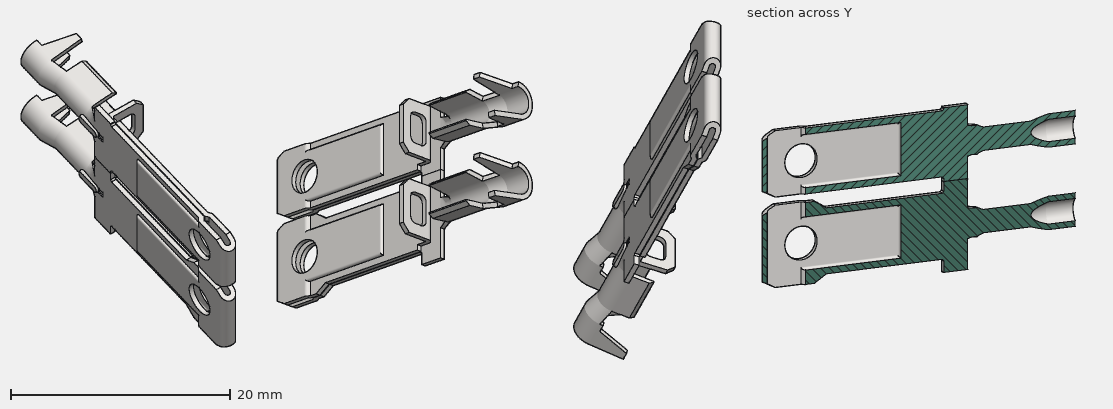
import cadquery as cq
import math


SHEET = 0.5
HALF_GAP = 0.03
EMBOSS = 0.265
INNER_FACE = HALF_GAP
OUTER_FACE = HALF_GAP + SHEET
RAISED_INNER = INNER_FACE + EMBOSS
RAISED_OUTER = OUTER_FACE + EMBOSS
LENGTH = 31.05
FOLD_START = LENGTH - RAISED_OUTER

STRIP_START = 10.65
STRIP_END = 13.07
CORNER = 0.15
BLADE_HALF = 3.17
TIP_START = 29.67
TIP_DROP = 0.75
WIDENING_START = 24.7
WIDENING_END = 25.9
HOLE_X = 27.1
HOLE_DIAMETER = 3.2

JOG_START = 26.57
JOG_END = 26.95
INNER_JOG_START = 26.8
INNER_JOG_END = 27.1
PAD_START = 17.32
PAD_HALF = 2.5
PAD_ROUND = 0.22
JOG_ROUND = 0.47

LEG_START = 11.5
LEG_TOP = 4.0
LEG_HALF = 2.65
LEG_CHAMFER = 0.78
BEND_INNER = 0.12
BEND_OUTER = BEND_INNER + SHEET
WINDOW_BOTTOM = 1.0
WINDOW_TOP = 3.05
WINDOW_HALF = 1.52
WINDOW_FILLET = 0.62

INSULATION_LENGTH = 2.67
INSULATION_RADIUS = 1.8
INSULATION_BOTTOM = -1.05
INSULATION_LEAN = 10.0
INSULATION_WING_TOP = 3.95
INSULATION_WING_BASE = 0.85
INSULATION_TIP_WIDTH = 0.78
WIRE_START = 4.4
WIRE_END = 9.1
WIRE_RADIUS = 1.58
WIRE_BOTTOM = -OUTER_FACE
WIRE_LEAN = 6.3
WIRE_WING_TOP = 3.1
WIRE_BEVEL_START = 2.6
WIRE_TIP_FLAT = 0.12
NECK_ARC_HALF_ANGLE = 62.0
NECK_HALF = 1.5

RIB_START = 8.5
RIB_END = 11.17
RIB_HALF = 0.37
RIB_CREST = -0.75
RIB_ROOT = -0.4
RIB_TAPER = 25.0
POCKET_START = 11.2
POCKET_FLOOR_END = 11.73
POCKET_END = 11.9
POCKET_HALF = 0.3
POCKET_DEPTH = 0.12

PITCH = 7.85
UPPER_CENTER = 3.63
LOWER_CENTER = UPPER_CENTER - PITCH
UPPER_STRIP_TOP = 7.08
LOWER_STRIP_BOTTOM = -8.65
UPPER_TIP_HALF = BLADE_HALF
LOWER_TIP_HALF = PITCH / 2

REACH = 6.2


def along_y(start, end, points):
    """Prism between two Y values from an outline of (x, z) points."""
    plane = cq.Plane(origin=(0, start, 0), xDir=(1, 0, 0), normal=(0, 1, 0))
    flipped = [(x, -z) for x, z in points]
    return cq.Workplane(plane).polyline(flipped).close().extrude(end - start)


def sheet_profile():
    """Side profile of both layers, the fold and the bent leg, as one thick strip."""
    bend_x = LEG_START + BEND_OUTER
    bend_y = INNER_FACE + BEND_OUTER
    diagonal = math.sqrt(0.5)
    return (
        cq.Workplane("XY")
        .moveTo(STRIP_START, -INNER_FACE)
        .lineTo(STRIP_START, -OUTER_FACE)
        .lineTo(JOG_START, -OUTER_FACE)
        .lineTo(JOG_END, -RAISED_OUTER)
        .lineTo(FOLD_START, -RAISED_OUTER)
        .threePointArc((LENGTH, 0), (FOLD_START, RAISED_OUTER))
        .lineTo(JOG_END, RAISED_OUTER)
        .lineTo(JOG_START, OUTER_FACE)
        .lineTo(bend_x, OUTER_FACE)
        .threePointArc(
            (bend_x - BEND_INNER * diagonal, bend_y - BEND_INNER * diagonal),
            (bend_x - BEND_INNER, bend_y),
        )
        .lineTo(LEG_START + SHEET, LEG_TOP)
        .lineTo(LEG_START, LEG_TOP)
        .lineTo(LEG_START, bend_y)
        .threePointArc(
            (bend_x - BEND_OUTER * diagonal, bend_y - BEND_OUTER * diagonal),
            (bend_x, INNER_FACE),
        )
        .lineTo(INNER_JOG_START, INNER_FACE)
        .lineTo(INNER_JOG_END, RAISED_INNER)
        .lineTo(FOLD_START, RAISED_INNER)
        .threePointArc((FOLD_START + RAISED_INNER, 0), (FOLD_START, -RAISED_INNER))
        .lineTo(INNER_JOG_END, -RAISED_INNER)
        .lineTo(INNER_JOG_START, -INNER_FACE)
        .close()
    )


def layer_outline(root_start, root_bottom, root_top, tip_half):
    """Outline of one layer: a root that steps to the blade, a blade that may widen, and a cut tip."""
    def side(root, sign):
        points = [(root_start, root), (STRIP_END, root)]
        if abs(root) > BLADE_HALF:
            points += [(STRIP_END, sign * (BLADE_HALF + CORNER)), (STRIP_END + CORNER, sign * BLADE_HALF)]
        else:
            points.append((STRIP_END, sign * BLADE_HALF))
        if tip_half > BLADE_HALF:
            points += [(WIDENING_START, sign * BLADE_HALF), (WIDENING_END, sign * tip_half)]
        return points + [(TIP_START, sign * tip_half), (LENGTH, sign * (tip_half - TIP_DROP))]

    return side(root_bottom, -1) + side(root_top, 1)[::-1]


def pad(face):
    """Raised pad with a rounded start and sides, standing on the plane Y = face toward +Y."""
    block = along_y(face, face + EMBOSS, [
        (PAD_START, -PAD_HALF), (INNER_JOG_END, -PAD_HALF),
        (INNER_JOG_END, PAD_HALF), (PAD_START, PAD_HALF)])
    return block.faces(">Y").edges("|X or <X").fillet(PAD_ROUND)


def sheet_blank():
    """The bent sheet at full extrusion width, with the crests of both outer jogs rounded."""
    blank = sheet_profile().extrude(REACH, both=True)
    for crest_y in (RAISED_OUTER, -RAISED_OUTER):
        crest = cq.selectors.NearestToPointSelector((JOG_END, crest_y, 0))
        blank = blank.edges("|Z").edges(crest).fillet(JOG_ROUND)
    return blank


def folded_blade(strip_bottom, strip_top, tip_half):
    """Strip, blade and bent leg, with hollow pads, the hole and the leg window."""
    front = along_y(-REACH, 0, layer_outline(STRIP_START, strip_bottom, strip_top, tip_half))
    back = along_y(0, REACH, layer_outline(STRIP_START, -LEG_HALF, LEG_HALF, tip_half))
    blank = sheet_blank()
    blade = blank.intersect(front).union(blank.intersect(back))

    back_pad = pad(OUTER_FACE)
    back_hollow = pad(INNER_FACE)
    blade = blade.union(back_pad).union(back_pad.mirror("XZ"))
    blade = blade.cut(back_hollow).cut(back_hollow.mirror("XZ"))

    hole = cq.Workplane("XZ").center(HOLE_X, 0).circle(HOLE_DIAMETER / 2).extrude(REACH, both=True)
    return blade.cut(hole).cut(leg_window()).cut(leg_corner_cuts())


def leg_window():
    """Rounded window through the bent leg."""
    return (
        cq.Workplane("YZ").workplane(offset=LEG_START)
        .center((WINDOW_BOTTOM + WINDOW_TOP) / 2, 0)
        .rect(WINDOW_TOP - WINDOW_BOTTOM, 2 * WINDOW_HALF)
        .extrude(SHEET)
        .edges("|X").fillet(WINDOW_FILLET)
    )


def leg_corner_cuts():
    """Triangles that chamfer the two top corners of the bent leg."""
    corner = (
        cq.Workplane("YZ").workplane(offset=LEG_START)
        .polyline([(LEG_TOP, LEG_HALF), (LEG_TOP - LEG_CHAMFER, LEG_HALF), (LEG_TOP, LEG_HALF - LEG_CHAMFER)])
        .close().extrude(SHEET)
    )
    return corner.union(corner.mirror("XY"))


def arc_sector(work, center_y, radius, half_angle):
    """Curved strip of sheet on a YZ plane, opening toward +Y."""
    inner = radius - SHEET
    end_y = math.cos(math.radians(half_angle))
    end_z = math.sin(math.radians(half_angle))
    return (
        work
        .moveTo(center_y - radius * end_y, -radius * end_z)
        .threePointArc((center_y - radius, 0), (center_y - radius * end_y, radius * end_z))
        .lineTo(center_y - inner * end_y, inner * end_z)
        .threePointArc((center_y - inner, 0), (center_y - inner * end_y, -inner * end_z))
        .close()
    )


def wing_plane(x, center_y, radius, lean):
    """Plane on the outer face of the +Z wing: local x is X, local y runs up the wing from the arc end."""
    angle = math.radians(lean)
    origin = (x, center_y - radius * math.sin(angle), radius * math.cos(angle))
    return cq.Plane(origin=origin, xDir=(1, 0, 0), normal=(0, -math.sin(angle), math.cos(angle)))


def wing_height(y, center_y, radius, lean):
    """Distance up a wing at which its inner face reaches the given Y."""
    angle = math.radians(lean)
    inner_start = center_y - (radius - SHEET) * math.sin(angle)
    return (y - inner_start) / math.cos(angle)


def insulation_barrel():
    """Open U with two tapered wings, one leading and one trailing."""
    center_y = INSULATION_BOTTOM + INSULATION_RADIUS
    shape = (center_y, INSULATION_RADIUS, INSULATION_LEAN)
    low = wing_height(INSULATION_WING_BASE, *shape)
    high = wing_height(INSULATION_WING_TOP, *shape)
    taper_foot = INSULATION_LENGTH - INSULATION_TIP_WIDTH
    trailing = (
        cq.Workplane(wing_plane(0, *shape))
        .polyline([(0, 0), (INSULATION_LENGTH, 0), (INSULATION_LENGTH, high),
                   (taper_foot, high), (INSULATION_TIP_WIDTH, low), (0, low)])
        .close().extrude(-SHEET)
    )
    leading = trailing.mirror("YZ").mirror("XY").translate((INSULATION_LENGTH, 0, 0))
    trough = arc_sector(cq.Workplane("YZ"), center_y, INSULATION_RADIUS, 90 - INSULATION_LEAN)
    return trough.extrude(INSULATION_LENGTH).union(trailing).union(leading)


def wire_barrel():
    """Open U whose two straight wings end in a bevelled edge."""
    center_y = WIRE_BOTTOM + WIRE_RADIUS
    shape = (center_y, WIRE_RADIUS, WIRE_LEAN)
    lean = math.radians(WIRE_LEAN)
    top = wing_height(WIRE_WING_TOP, *shape)
    bevel = (WIRE_BEVEL_START - center_y + WIRE_RADIUS * math.sin(lean)) / math.cos(lean)
    plane = wing_plane(WIRE_START, *shape)
    section = cq.Plane(origin=plane.origin, xDir=plane.yDir, normal=(1, 0, 0))
    wing = (
        cq.Workplane(section)
        .polyline([(0, 0), (bevel, 0), (top, WIRE_TIP_FLAT - SHEET), (top, -SHEET), (0, -SHEET)])
        .close().extrude(WIRE_END - WIRE_START)
    )
    trough_start = cq.Workplane("YZ").workplane(offset=WIRE_START)
    trough = arc_sector(trough_start, center_y, WIRE_RADIUS, 90 - WIRE_LEAN)
    return trough.extrude(WIRE_END - WIRE_START).union(wing).union(wing.mirror("XY"))


def barrel_transition():
    """Curved sheet that blends the insulation barrel into the wire barrel."""
    start_section = arc_sector(
        cq.Workplane("YZ").workplane(offset=INSULATION_LENGTH),
        INSULATION_BOTTOM + INSULATION_RADIUS, INSULATION_RADIUS, 90 - INSULATION_LEAN)
    both_sections = arc_sector(
        start_section.workplane(offset=WIRE_START - INSULATION_LENGTH),
        WIRE_BOTTOM + WIRE_RADIUS, WIRE_RADIUS, 90 - WIRE_LEAN)
    return both_sections.loft(ruled=True, combine=True)


def neck():
    """Sheet that flattens from the bottom of the wire barrel to the strip."""
    start_section = arc_sector(
        cq.Workplane("YZ").workplane(offset=WIRE_END),
        WIRE_BOTTOM + WIRE_RADIUS, WIRE_RADIUS, NECK_ARC_HALF_ANGLE)
    both_sections = start_section.workplane(offset=STRIP_START - WIRE_END).polyline([
        (-OUTER_FACE, -NECK_HALF), (-OUTER_FACE, NECK_HALF),
        (-INNER_FACE, NECK_HALF), (-INNER_FACE, -NECK_HALF)]).close()
    return both_sections.loft(ruled=True, combine=True)


def rib():
    """Tapered round-ended rib standing out of the neck toward -Y."""
    rise = RIB_ROOT - RIB_CREST
    root_half = RIB_HALF + rise * math.tan(math.radians(RIB_TAPER))
    straight = RIB_END - RIB_START - 2 * RIB_HALF
    plane = cq.Plane(
        origin=((RIB_START + RIB_END) / 2, RIB_ROOT, 0), xDir=(1, 0, 0), normal=(0, -1, 0))
    return (
        cq.Workplane(plane)
        .slot2D(straight + 2 * root_half, 2 * root_half)
        .extrude(rise, taper=RIB_TAPER)
    )


def pocket():
    """Shallow pocket in the strip just past the rib, with a sloping far wall."""
    floor = -OUTER_FACE + POCKET_DEPTH
    return (
        cq.Workplane("XY").workplane(offset=-POCKET_HALF)
        .polyline([(POCKET_START, -OUTER_FACE), (POCKET_END, -OUTER_FACE),
                   (POCKET_FLOOR_END, floor), (POCKET_START, floor)])
        .close().extrude(2 * POCKET_HALF)
    )


def terminal(center_z, strip_bottom, strip_top, tip_half):
    """One complete terminal as a single solid, centred at the given Z."""
    body = folded_blade(strip_bottom - center_z, strip_top - center_z, tip_half)
    for feature in (neck(), wire_barrel(), barrel_transition(), insulation_barrel(), rib()):
        body = body.union(feature)
    return body.cut(pocket()).translate((0, 0, center_z))


placements = [
    (UPPER_CENTER, 0, UPPER_STRIP_TOP, UPPER_TIP_HALF),
    (LOWER_CENTER, LOWER_STRIP_BOTTOM, 0, LOWER_TIP_HALF),
]
terminals = [terminal(*placement) for placement in placements]

result = cq.Compound.makeCompound([body.val() for body in terminals])